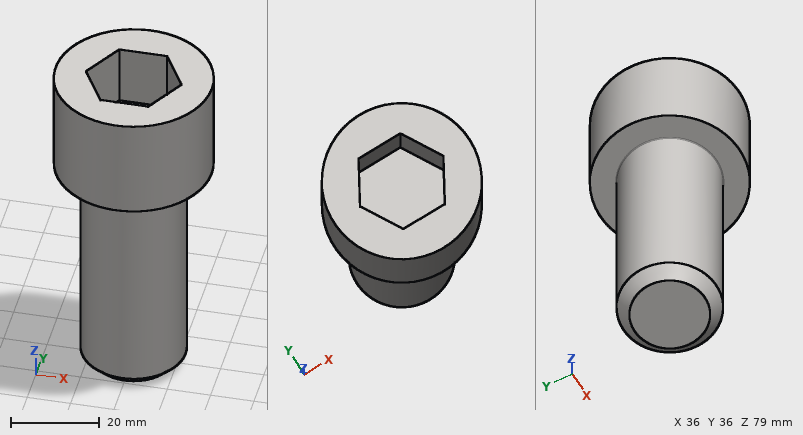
import cadquery as cq

total_length = 79.0
shank_diameter = 24.0
head_diameter = 36.0
head_height = shank_diameter
shank_length = total_length - head_height
tip_chamfer = 2.9
neck_fillet = 0.15

socket_sides = 6
socket_across_corners = 22.05
socket_depth = 0.6 * head_height


def make_shank():
    """Plain cylinder rising from Z = 0, chamfered at its tip."""
    shank = cq.Workplane("XY").circle(shank_diameter / 2).extrude(shank_length)
    return shank.faces("<Z").chamfer(tip_chamfer)


def make_head():
    """Cylindrical head standing on the shank."""
    return (
        cq.Workplane("XY")
        .workplane(offset=shank_length)
        .circle(head_diameter / 2)
        .extrude(head_height)
    )


def make_socket():
    """Hexagonal prism to remove from the top of the head."""
    return (
        cq.Workplane("XY")
        .workplane(offset=total_length)
        .polygon(socket_sides, socket_across_corners)
        .extrude(-socket_depth)
    )


def fillet_neck(screw):
    """Round the inner corner where the shank meets the underside of the head."""
    neck_edge = screw.faces("|Z").faces(">Z[-2]").edges(cq.selectors.RadiusNthSelector(0))
    return neck_edge.fillet(neck_fillet)


screw = fillet_neck(make_shank().union(make_head()))
result = screw.cut(make_socket())